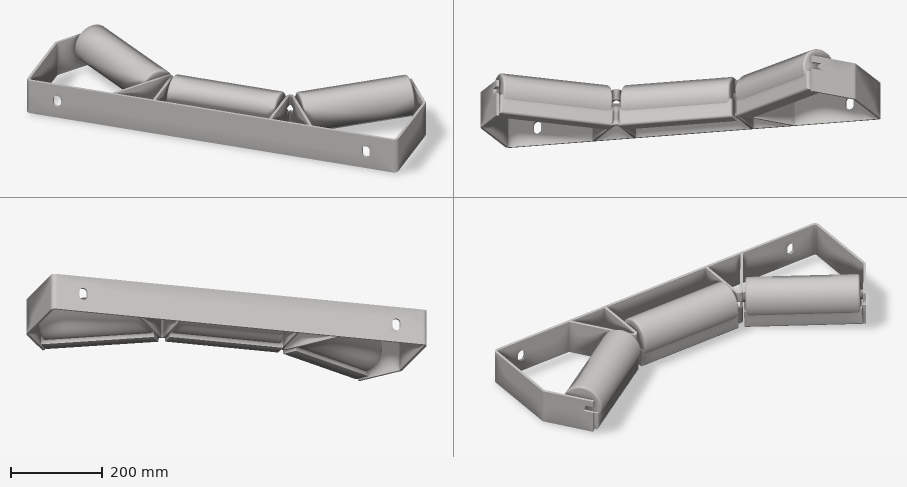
import cadquery as cq
import math

frame_length = 860.0
strip_height = 80.0
strip_thickness = 6.0
frame_bend_radius = 11.0
arm_tip_y = 287.4

mount_slot_spacing = 716.0
mount_slot_width = 18.0
mount_slot_height = 27.0

trough_angle = 35.0
forward_tilt = 2.0
roller_diameter = 89.0
roller_length = 250.0
roller_edge_fillet = 5.0
centre_axis_y = 100.0
centre_axis_z = 49.0
side_roller_x = 267.3
side_roller_y = 184.06
side_roller_z = 53.3

block_length = 259.0
block_depth = 39.0
block_top_drop = 12.0
block_drop = 54.0
block_fillet = 5.0

shaft_diameter = 20.0
shaft_flat_width = 15.0
plate_gap = 263.0
shaft_play = 0.4
shaft_shoulder_length = plate_gap - 2 * shaft_play
shaft_length = plate_gap + 2 * strip_thickness
slot_reach = 60.0

bracket_bend_radius = 9.0
bracket_face_x = plate_gap / 2

slope_cos = math.cos(math.radians(trough_angle))
slope_sin = math.sin(math.radians(trough_angle))
slope_tan = slope_sin / slope_cos


def place_left(shape):
    """Move a shape lying along X at the origin to the left roller station."""
    tilted = shape.rotate((0, 0, 0), (0, 1, 0), forward_tilt)
    turned = tilted.rotate((0, 0, 0), (0, 0, 1), -trough_angle)
    return turned.translate((-side_roller_x, side_roller_y, side_roller_z))


def place_right(shape):
    return place_left(shape).mirror("YZ")


def place_centre(shape):
    return shape.translate((0, centre_axis_y, centre_axis_z))


stations = [place_left, place_centre, place_right]


def x_cylinder(diameter, length):
    return cq.Workplane("YZ").workplane(offset=-length / 2).circle(diameter / 2).extrude(length)


def make_roller():
    tube = x_cylinder(roller_diameter, roller_length).edges().fillet(roller_edge_fillet)
    block = (
        cq.Workplane("XY")
        .box(block_length, block_depth, block_drop - block_top_drop, centered=(True, False, False))
        .translate((0, 0, -block_drop))
        .edges("(>Y and |Z) or (>Y and <Z)")
        .fillet(block_fillet)
    )
    return tube.union(block).cut(x_cylinder(shaft_diameter, block_length))


def shaft_flats(length):
    return cq.Workplane("XY").box(length, shaft_diameter, shaft_flat_width)


def make_shaft():
    tongue = x_cylinder(shaft_diameter, shaft_length).intersect(shaft_flats(shaft_length))
    return tongue.union(x_cylinder(shaft_diameter, shaft_shoulder_length))


def make_shaft_slots():
    """Cutter for the two slots that hold one shaft, open to the rear."""
    length = shaft_length + 2 * strip_thickness
    seat = x_cylinder(shaft_diameter, length).intersect(shaft_flats(length))
    opening = cq.Workplane("XY").box(
        length, slot_reach, shaft_flat_width, centered=(True, False, True)
    )
    return seat.union(opening)


left_slots, centre_slots, right_slots = [place(make_shaft_slots()) for place in stations]


def bend(strip, corner, radius):
    """Round the upright edge of a strip at a corner in plan."""
    return strip.edges(cq.selectors.NearestToPointSelector((*corner, strip_height / 2))).fillet(radius)


def make_frame():
    half = frame_length / 2
    reach = shaft_length / 2
    arm_x = side_roller_x + reach * slope_cos
    arm_y = side_roller_y + reach * slope_sin
    arm_bend_y = arm_y - (half - arm_x) / slope_tan
    tip_x = half - (arm_tip_y - arm_bend_y) * slope_tan
    inner_half = half - strip_thickness
    inner_bend_y = arm_bend_y - strip_thickness * math.tan(math.radians(trough_angle / 2))
    inner_tip = (tip_x - strip_thickness * slope_cos, arm_tip_y - strip_thickness * slope_sin)
    right_side = [
        (half, 0),
        (half, arm_bend_y),
        (tip_x, arm_tip_y),
        inner_tip,
        (inner_half, inner_bend_y),
        (inner_half, strip_thickness),
    ]
    left_side = [(-x, y) for x, y in reversed(right_side)]
    strip = cq.Workplane("XY").polyline(right_side + left_side).close().extrude(strip_height)
    for x in (half, -half):
        strip = bend(strip, (x, 0), frame_bend_radius)
        strip = bend(strip, (x, arm_bend_y), frame_bend_radius)
    inner_radius = frame_bend_radius - strip_thickness
    for x in (inner_half, -inner_half):
        strip = bend(strip, (x, strip_thickness), inner_radius)
        strip = bend(strip, (x, inner_bend_y), inner_radius)
    mount_slots = (
        cq.Workplane("XZ")
        .pushPoints([(side * mount_slot_spacing / 2, strip_height / 2) for side in (-1, 1)])
        .slot2D(mount_slot_height, mount_slot_width, 90)
        .extrude(-strip_thickness)
    )
    return strip.cut(mount_slots).cut(left_slots).cut(right_slots)


def make_left_bracket():
    reach = plate_gap / 2
    leg_x = -side_roller_x + reach * slope_cos
    leg_y = side_roller_y - reach * slope_sin

    def leg_at(y, depth):
        """Point of the sloping leg at y, at a depth below its roller-side face."""
        return (leg_x + (y - leg_y) * slope_tan + depth / slope_cos, y)

    face = -bracket_face_x
    back = face - strip_thickness
    apex_y = leg_y + (face - leg_x) / slope_tan
    inner_y = leg_y + (back - leg_x - strip_thickness / slope_cos) / slope_tan
    outline = [
        leg_at(strip_thickness, 0),
        (face, apex_y),
        (face, strip_thickness),
        (back, strip_thickness),
        (back, inner_y),
        leg_at(strip_thickness, strip_thickness),
    ]
    bracket = cq.Workplane("XY").polyline(outline).close().extrude(strip_height)
    bracket = bend(bracket, (face, apex_y), bracket_bend_radius)
    bracket = bend(bracket, (back, inner_y), bracket_bend_radius - strip_thickness)
    return bracket.cut(left_slots).cut(centre_slots)


frame = make_frame()
left_bracket = make_left_bracket()
right_bracket = left_bracket.mirror("YZ")
rollers = [place(make_roller()) for place in stations]
shafts = [place(make_shaft()) for place in stations]
bodies = [frame, left_bracket, right_bracket, *rollers, *shafts]
result = cq.Compound.makeCompound([body.val() for body in bodies])